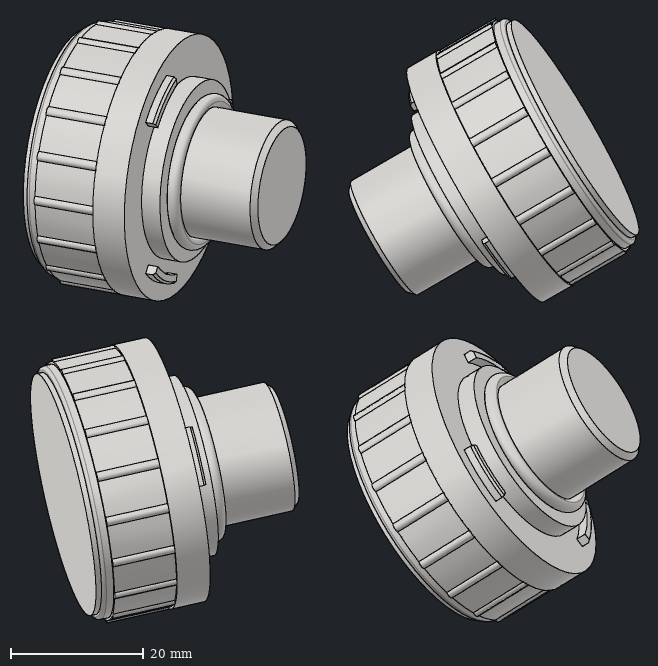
import cadquery as cq


face_diameter = 37.55
bezel_diameter = 39.35
grip_diameter = 40.2
flange_diameter = 41.0
collar_diameter = 28.0
shaft_diameter = 20.0
tab_outer_diameter = 35.3
tab_inner_diameter = 32.45

face_end = 0.85
bezel_end = 2.55
grip_end = 12.25
flange_end = 17.45
tab_end = 19.02
collar_end = 20.5
shaft_end = 34.52

bezel_fillet = 0.55
shaft_chamfer = 0.9
tab_chamfer = 0.35

rib_count = 18
rib_radius = 0.8

ring_tube_radius = 1.02
ring_press = 0.05

tab_count = 3
tab_sweep = 30.0


def disc(start, end, diameter):
    """Cylinder along X from start to end."""
    return cq.Workplane("YZ", origin=(start, 0, 0)).circle(diameter / 2).extrude(end - start)


def make_body():
    face = disc(0, face_end, face_diameter)
    bezel = disc(face_end, bezel_end, bezel_diameter).faces("<X").edges().fillet(bezel_fillet)
    grip = disc(bezel_end, grip_end, grip_diameter)
    flange = disc(grip_end, flange_end, flange_diameter)
    collar = disc(flange_end, collar_end, collar_diameter)
    shaft = disc(collar_end, shaft_end, shaft_diameter).faces(">X").edges().chamfer(shaft_chamfer)
    return face.union(bezel).union(grip).union(flange).union(collar).union(shaft)


def make_ribs():
    """Round bars along the grip, the first one on the +Y side."""
    return (
        cq.Workplane("YZ", origin=(bezel_end, 0, 0))
        .polarArray(flange_diameter / 2 - rib_radius, 0, 360, rib_count)
        .circle(rib_radius)
        .extrude(grip_end - bezel_end)
    )


def make_sealing_ring():
    tube_x = collar_end - ring_press + ring_tube_radius
    tube_offset = shaft_diameter / 2 - ring_press + ring_tube_radius
    return (
        cq.Workplane("XY")
        .center(tube_x, tube_offset)
        .circle(ring_tube_radius)
        .revolve(360, (0, -tube_offset, 0), (1, -tube_offset, 0))
    )


def make_tab(centre_angle):
    """Arc-shaped tab on the flange, chamfered along its outer edge at its free end."""
    inner = tab_inner_diameter / 2
    outer = tab_outer_diameter / 2
    profile = [
        (flange_end, inner),
        (tab_end, inner),
        (tab_end, outer - tab_chamfer),
        (tab_end - tab_chamfer, outer),
        (flange_end, outer),
    ]
    tab = cq.Workplane("XY").polyline(profile).close().revolve(tab_sweep, (0, 0, 0), (1, 0, 0))
    return tab.rotate((0, 0, 0), (1, 0, 0), centre_angle - tab_sweep / 2)


result = make_body().union(make_ribs()).union(make_sealing_ring())
for index in range(tab_count):
    result = result.union(make_tab(index * 360 / tab_count))